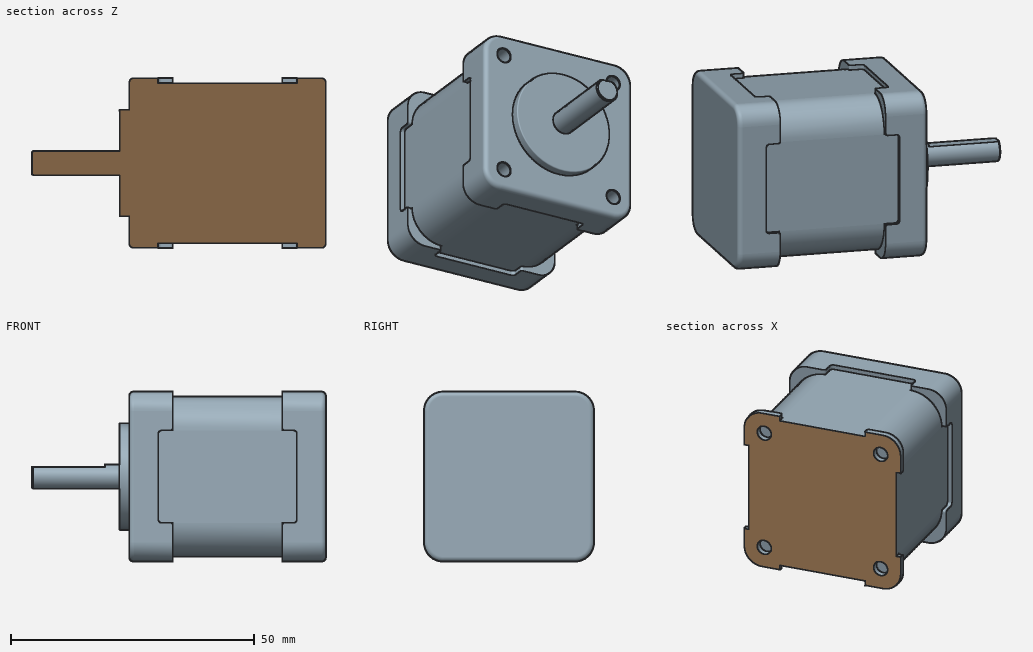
import cadquery as cq

total_length = 60.5
body_side = 35.0
shaft_length = 19.95
body_length = total_length - shaft_length
end_cap_length = 9.0
gap_length = body_length - 2 * end_cap_length

cap_corner_radius = 4.0
cap_edge_radius = 1.0
bolt_spacing = 26.0
bolt_diameter = 3.0
bolt_mouth_chamfer = 0.1
bolt_depth = end_cap_length

core_inset = 1.0
core_side = body_side - 2 * core_inset
window_width = 19.0
core_corner_radius = (core_side - window_width) / 2
window_reach = 3.0
window_corner_radius = 0.7
cap_tip_radius = 0.5

pilot_diameter = 22.0
pilot_height = 2.0
pilot_edge_radius = 0.25
shaft_diameter = 5.0
shaft_tip_chamfer = 0.25
flat_length = 15.0
flat_height = 2.0


def square_bar(side, length, corner_radius, x_start):
    """Rounded square bar running along +X from x_start."""
    bar = cq.Workplane("YZ").rect(side, side).extrude(length).edges("|X").fillet(corner_radius)
    return bar.translate((x_start, 0, 0))


def disc(diameter, length):
    """Cylinder standing on the front cap face and pointing toward -X."""
    return cq.Workplane("YZ").circle(diameter / 2).extrude(-length)


def window_cutter():
    """Prism over the top face that clears the window and rounds the cap tips beside it."""
    window = (
        cq.Workplane("XY")
        .rect(gap_length + 2 * window_reach, window_width)
        .extrude(core_inset)
        .edges("|Z")
        .fillet(window_corner_radius)
    )
    rounding = cq.Workplane("XY").center(cap_tip_radius, cap_tip_radius).circle(cap_tip_radius)
    tip = (
        cq.Workplane("XY")
        .rect(cap_tip_radius, cap_tip_radius, centered=False)
        .extrude(core_inset)
        .cut(rounding.extrude(core_inset))
        .translate((gap_length / 2, window_width / 2, 0))
    )
    tips = tip.union(tip.mirror("YZ"))
    tips = tips.union(tips.mirror("XZ"))
    return window.union(tips).translate((body_length / 2, 0, core_side / 2))


def make_body():
    """Two end caps over a recessed core, with a window in each of the four sides."""
    cap_stock = square_bar(body_side, body_length, cap_corner_radius, 0)
    cap_stock = cap_stock.faces("<X or >X").edges().fillet(cap_edge_radius)
    gap = cq.Workplane("YZ").rect(body_side, body_side).extrude(gap_length)
    body = cap_stock.cut(gap.translate((end_cap_length, 0, 0)))
    cutter = window_cutter()
    for side in range(4):
        body = body.cut(cutter.rotate((0, 0, 0), (1, 0, 0), 90 * side))
    core = square_bar(core_side, gap_length, core_corner_radius, end_cap_length)
    return body.union(core)


def make_bolt_holes():
    """Four blind holes in the front cap, each with a lightly chamfered mouth."""
    bore = cq.Workplane("YZ").circle(bolt_diameter / 2).extrude(bolt_depth)
    mouth = (
        cq.Workplane("YZ")
        .circle(bolt_diameter / 2 + bolt_mouth_chamfer)
        .extrude(bolt_mouth_chamfer, taper=45)
    )
    hole = bore.union(mouth).translate((0, bolt_spacing / 2, bolt_spacing / 2))
    pair = hole.union(hole.mirror("XZ"))
    return pair.union(pair.mirror("XY"))


def make_shaft():
    """Shaft with a flat on its +Z side, starting at the tip."""
    shaft = disc(shaft_diameter, shaft_length).faces("<X").chamfer(shaft_tip_chamfer)
    flat_cut = cq.Workplane("XY").box(
        flat_length, shaft_diameter, shaft_diameter, centered=(False, True, False)
    )
    return shaft.cut(flat_cut.translate((-shaft_length, 0, flat_height)))


pilot = disc(pilot_diameter, pilot_height).faces("<X").edges().fillet(pilot_edge_radius)

result = make_body().cut(make_bolt_holes()).union(pilot).union(make_shaft())
result = result.translate((shaft_length - total_length / 2, 0, 0))